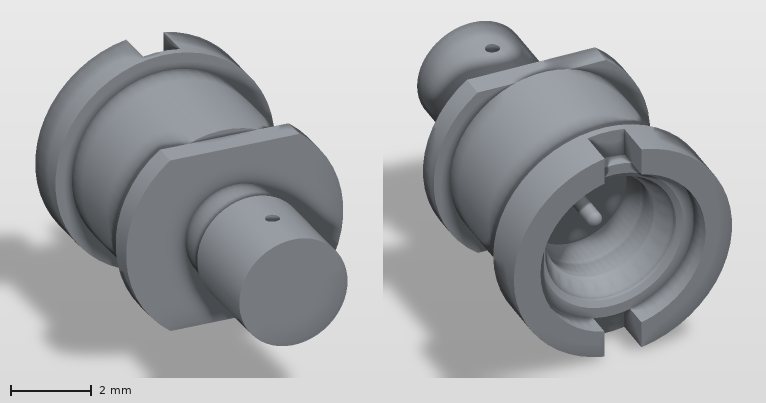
import cadquery as cq

length = 8.99
ring_end = 1.22
body_end = 4.75
flange_start = 4.8
flange_end = 5.44
barrel_start = 6.45
slot_depth = 1.02
socket_front = 0.63

ring_radius = 2.985
body_radius = 2.535
relief_radius = 2.33
flange_radius = 2.96
neck_radius = 1.34
barrel_radius = 1.47

counterbore_radius = 2.26
sleeve_radius = 2.23

mouth_radius = 1.94
throat_radius = 1.79
socket_radius = 1.48
floor_radius = 1.465
lead_in_end = 0.73
throat_end = 0.86
taper_end = 1.39
shoulder_start = 1.99
shoulder_end = 2.12
socket_floor = 2.97

pin_radius = 0.2
pin_tip = 1.51
collar_radius = 0.4
collar_height = 0.09

slot_width = 1.01
flange_across_flats = 4.765
solder_hole_radius = 0.19
solder_hole_x = 7.72


def cylinder(start, end, radius):
    """Solid cylinder along the X axis."""
    return cq.Workplane("YZ", origin=(start, 0, 0)).circle(radius).extrude(end - start)


def make_flange():
    """Round flange with a flat on its top and bottom."""
    disc = cylinder(flange_start, flange_end, flange_radius)
    flats = cq.Workplane("XY").box(2 * length, 2 * flange_radius, flange_across_flats)
    return disc.intersect(flats)


def make_socket_cutter():
    """Revolved socket cavity: lead-in, throat, taper, shoulder and floor."""
    profile = [
        (socket_front, 0),
        (socket_front, mouth_radius),
        (lead_in_end, throat_radius),
        (throat_end, throat_radius),
        (taper_end, socket_radius),
        (shoulder_start, socket_radius),
        (shoulder_end, floor_radius),
        (socket_floor, floor_radius),
        (socket_floor, 0),
    ]
    return cq.Workplane("XY").polyline(profile).close().revolve(360, (0, 0, 0), (1, 0, 0))


def make_contact():
    """Round-nosed pin standing on a low collar at the socket floor."""
    nose_center = pin_tip + pin_radius
    pin = cylinder(nose_center, socket_floor + collar_height, pin_radius)
    nose = cq.Workplane("XY", origin=(nose_center, 0, 0)).sphere(pin_radius)
    collar = cylinder(socket_floor - collar_height, socket_floor + collar_height, collar_radius)
    return pin.union(nose).union(collar)


result = (
    cylinder(0, ring_end, ring_radius)
    .union(cylinder(0, body_end, body_radius))
    .union(cylinder(body_end, flange_start, relief_radius))
    .union(make_flange())
    .union(cylinder(flange_end, barrel_start, neck_radius))
    .union(cylinder(barrel_start, length, barrel_radius))
)

slot = cq.Workplane("XY").box(2 * slot_depth, slot_width, 2 * ring_radius)
front_cut = cylinder(0, slot_depth, counterbore_radius).union(slot)
sleeve = cylinder(socket_front, slot_depth, sleeve_radius)
result = result.cut(front_cut).union(sleeve)

result = result.cut(make_socket_cutter()).union(make_contact())

solder_hole = (
    cq.Workplane("XY", origin=(solder_hole_x, 0, 0))
    .circle(solder_hole_radius)
    .extrude(barrel_radius)
)
result = result.cut(solder_hole)